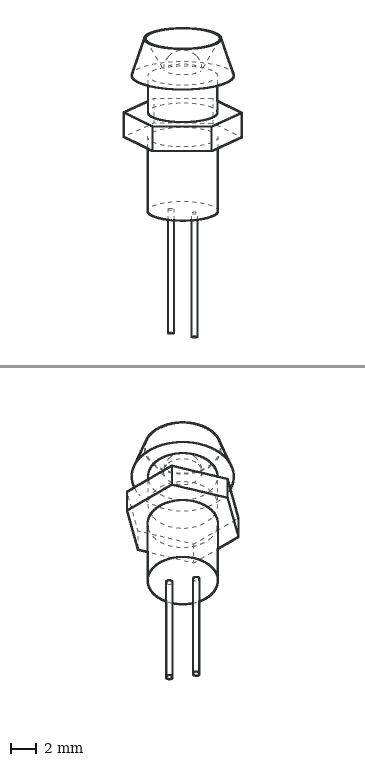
import cadquery as cq

total_height = 24.0
lead_length = 10.0
nut_bottom = 16.0
nut_thickness = 2.0
bezel_height = 3.0

body_diameter = 5.5
neck_diameter = 5.42
nut_across_flats = 8.0
bezel_base_diameter = 8.0
bezel_top_diameter = 6.0
rim_width = 0.1
lamp_diameter = 3.0
lead_diameter = 0.5
lead_pitch = 2.14

cup_depth = 2.5

nut_top = nut_bottom + nut_thickness
bezel_bottom = total_height - bezel_height
cup_floor = total_height - cup_depth


def cylinder(diameter, bottom, top):
    return cq.Workplane("XY").workplane(offset=bottom).circle(diameter / 2).extrude(top - bottom)


def cone(bottom_diameter, top_diameter, bottom, top):
    profile = [
        (0, bottom),
        (bottom_diameter / 2, bottom),
        (top_diameter / 2, top),
        (0, top),
    ]
    return cq.Workplane("XZ").polyline(profile).close().revolve(360, (0, 0, 0), (0, 1, 0))


def hex_nut():
    return (
        cq.Workplane("XY")
        .workplane(offset=nut_bottom)
        .polygon(6, nut_across_flats, circumscribed=True)
        .extrude(nut_thickness)
    )


def bezel():
    outside = cone(bezel_base_diameter, bezel_top_diameter, bezel_bottom, total_height)
    cup_top_diameter = bezel_top_diameter - 2 * rim_width
    cup = cone(lamp_diameter, cup_top_diameter, cup_floor, total_height)
    return outside.cut(cup)


def lamp():
    return cq.Workplane("XY").sphere(lamp_diameter / 2).translate((0, 0, cup_floor))


def leads():
    positions = [(-lead_pitch / 2, 0), (lead_pitch / 2, 0)]
    return cq.Workplane("XY").pushPoints(positions).circle(lead_diameter / 2).extrude(lead_length)


body = cylinder(body_diameter, lead_length, nut_bottom)
neck = cylinder(neck_diameter, nut_top, bezel_bottom)

result = body.union(hex_nut()).union(neck).union(bezel()).union(lamp()).union(leads())